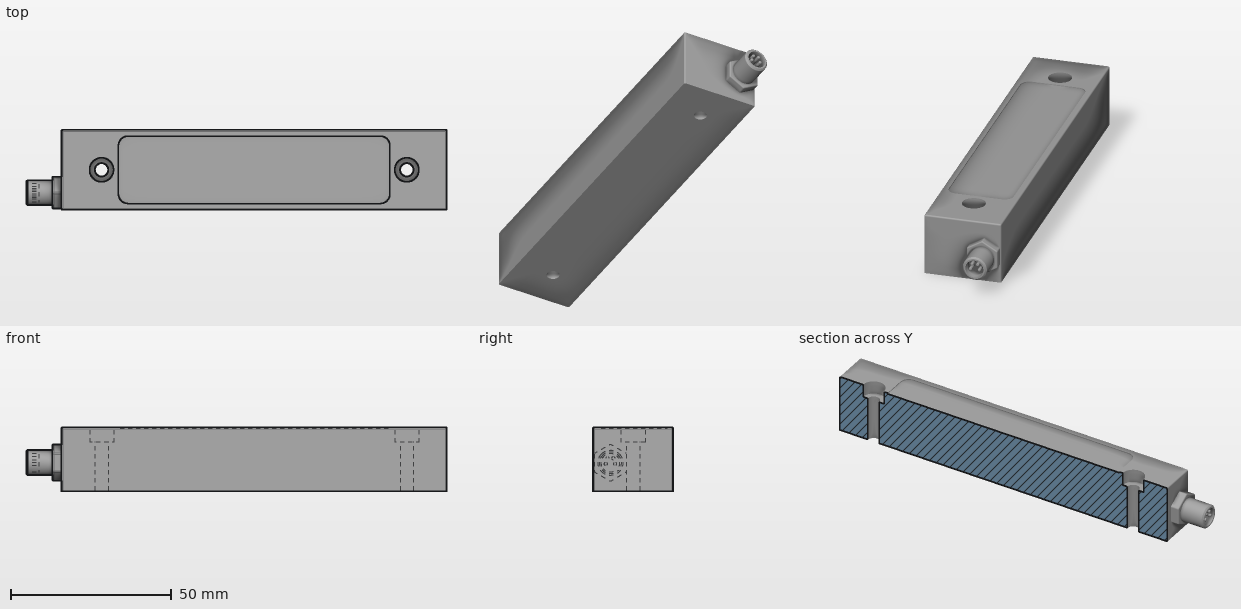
import cadquery as cq
import math

body_length = 120.0
body_width = 25.0
body_height = 20.0
edge_radius = 0.5

hole_spacing = 95.0
hole_diameter = 4.1
counterbore_diameter = 7.5
counterbore_depth = 4.5

recess_length = 84.5
recess_width = 21.0
recess_corner_radius = 3.0
recess_depth = 0.3

connector_y = -7.1
connector_z = 9.0
connector_length = 11.0
sleeve_diameter = 7.8
sleeve_chamfer = 0.5
socket_diameter = 5.8
socket_depth = 4.0
nut_sides = 6
nut_across_flats = 10.0
nut_thickness = 2.8
nut_rim_radius = 0.4
nut_corner_radius = 0.6
pin_diameter = 1.0
pin_length = 3.8
pin_tip_radius = 0.25
pin_places = [(-0.9, 1.4), (0.9, 1.4), (-1.45, -0.35), (1.45, -0.35)]

body_end_x = -body_length / 2
tip_x = body_end_x - connector_length


def connector_plane(x):
    """Plane facing -X, centred on the connector axis; local x is -Y, local y is +Z."""
    plane = cq.Plane(origin=(x, connector_y, connector_z), xDir=(0, -1, 0), normal=(-1, 0, 0))
    return cq.Workplane(plane)


def make_housing():
    block = cq.Workplane("XY").box(body_length, body_width, body_height, centered=(True, True, False))
    return block.edges("|Z or >Z").fillet(edge_radius)


def cut_mounting_holes(part):
    places = [(-hole_spacing / 2, 0), (hole_spacing / 2, 0)]
    top = part.faces(">Z").workplane(origin=(0, 0, body_height)).pushPoints(places)
    return top.cboreHole(hole_diameter, counterbore_diameter, counterbore_depth)


def cut_label_recess(part):
    recess = (
        cq.Workplane("XY", origin=(0, 0, body_height - recess_depth))
        .rect(recess_length, recess_width)
        .extrude(recess_depth)
        .edges("|Z")
        .fillet(recess_corner_radius)
    )
    return part.cut(recess)


def make_nut():
    half_side_angle = 180 / nut_sides
    across_corners = nut_across_flats / math.cos(math.radians(half_side_angle))
    turned = connector_plane(body_end_x).transformed(rotate=(0, 0, half_side_angle))
    hexagon = turned.polygon(nut_sides, across_corners)
    nut = hexagon.extrude(nut_thickness).edges("|X").fillet(nut_corner_radius)
    return nut.faces("<X").fillet(nut_rim_radius)


def make_sleeve():
    sleeve = connector_plane(body_end_x).circle(sleeve_diameter / 2).extrude(connector_length)
    sleeve = sleeve.faces("<X").chamfer(sleeve_chamfer)
    socket = connector_plane(tip_x + socket_depth).circle(socket_diameter / 2).extrude(socket_depth)
    return sleeve.cut(socket)


def make_pins():
    bases = connector_plane(tip_x + socket_depth).pushPoints(pin_places)
    pins = bases.circle(pin_diameter / 2).extrude(pin_length)
    return pins.faces("<X").fillet(pin_tip_radius)


housing = cut_label_recess(cut_mounting_holes(make_housing()))
result = housing.union(make_nut()).union(make_sleeve()).union(make_pins())